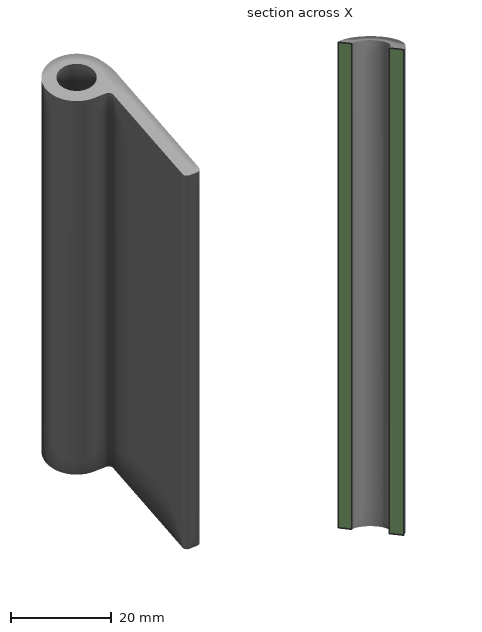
import cadquery as cq
import math

length = 100.0
overall_width = 43.2
barrel_radius = 7.0
bore_diameter = 8.0
leaf_back = 7.5
blend_radius = 15.0
leaf_thickness = 3.8
edge_radius = 1.0

leaf_end = overall_width - barrel_radius
leaf_front = leaf_back - leaf_thickness

center_distance = blend_radius - barrel_radius
blend_center_y = leaf_back - blend_radius
blend_center_x = math.sqrt(center_distance**2 - blend_center_y**2)
touch_x = -blend_center_x * barrel_radius / center_distance
touch_y = -blend_center_y * barrel_radius / center_distance


def hinge_profile():
    """Closed outline of the barrel and the leaf, without rounded corners."""
    return (
        cq.Workplane("XY")
        .moveTo(touch_x, touch_y)
        .radiusArc((blend_center_x, leaf_back), blend_radius)
        .lineTo(leaf_end, leaf_back)
        .lineTo(leaf_end, leaf_front)
        .lineTo(barrel_radius, leaf_front)
        .lineTo(barrel_radius, 0)
        .threePointArc((0, -barrel_radius), (touch_x, touch_y))
        .close()
    )


def round_edge(body, x, y):
    """Round the vertical edge nearest to the given profile corner."""
    edge = cq.selectors.NearestToPointSelector((x, y, length / 2))
    return body.edges("|Z").edges(edge).fillet(edge_radius)


body = hinge_profile().extrude(length)

corners = [(leaf_end, leaf_back), (leaf_end, leaf_front), (barrel_radius, leaf_front)]
for corner_x, corner_y in corners:
    body = round_edge(body, corner_x, corner_y)

bore = cq.Workplane("XY").circle(bore_diameter / 2).extrude(length)
result = body.cut(bore)